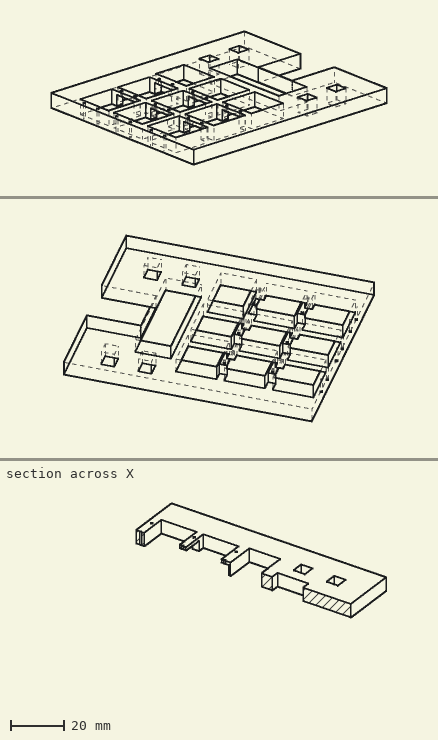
import cadquery as cq

PLATE_WIDTH = 80.5
PLATE_LENGTH = 97.5
PLATE_THICKNESS = 6.0

NOTCH_LEFT = 31.7
NOTCH_WIDTH = 19.0
NOTCH_BOTTOM = 76.3
DISPLAY_LEFT = 20.3
DISPLAY_BOTTOM = 61.8
DISPLAY_WIDTH = 39.1
DISPLAY_HEIGHT = 14.0

SMALL_SIZE = 5.2
SMALL_LEFT_X = 10.1
SMALL_RIGHT_X = 65.15
SMALL_UPPER_Y = 80.8
SMALL_CORNERS = [
    (SMALL_LEFT_X, SMALL_UPPER_Y),
    (SMALL_RIGHT_X, SMALL_UPPER_Y),
    (SMALL_LEFT_X, 65.7),
    (SMALL_RIGHT_X, 66.1),
]

GRID_COUNT = 3
GRID_PITCH = 19.0
GRID_LEFT = 12.3
GRID_BOTTOM = 3.7
KEY_SIZE = 16.0
ODD_KEY_WIDTH = 17.1
ODD_KEY_HEIGHT = 14.0
ODD_KEY_BOTTOM = 42.9

LEAD_DIAMETER = 0.77
LEAD_SPACING = 7.6
LOWER_WEB_Y = 21.2
UPPER_WEB_Y = 40.2
EDGE_PAIR_CENTRES = [(20.2, 2.0), (38.7, 1.9), (58.3, 1.9)]
WEB_PAIR_CENTRES = [
    (19.9, LOWER_WEB_Y), (38.9, LOWER_WEB_Y), (57.6, LOWER_WEB_Y),
    (19.9, UPPER_WEB_Y), (38.9, UPPER_WEB_Y), (57.9, UPPER_WEB_Y),
]

POCKET_LENGTH = 9.5
POCKET_WIDTH = 3.5
POCKET_ROOF = 1.6


def through_block(left, bottom, width, length):
    """Box as tall as the plate, placed by its lower-left corner."""
    box = cq.Workplane("XY").box(width, length, PLATE_THICKNESS, centered=False)
    return box.translate((left, bottom, 0))


def key_windows():
    windows = cq.Workplane("XY")
    for row in range(GRID_COUNT):
        for column in range(GRID_COUNT):
            left = GRID_LEFT + column * GRID_PITCH
            bottom = GRID_BOTTOM + row * GRID_PITCH
            if column == 0 and row == GRID_COUNT - 1:
                odd_left = left + KEY_SIZE - ODD_KEY_WIDTH
                windows = windows.add(through_block(odd_left, ODD_KEY_BOTTOM, ODD_KEY_WIDTH, ODD_KEY_HEIGHT))
            else:
                windows = windows.add(through_block(left, bottom, KEY_SIZE, KEY_SIZE))
    return windows.combine()


def lead_holes():
    positions = [
        (x + side * LEAD_SPACING / 2, y)
        for x, y in EDGE_PAIR_CENTRES + WEB_PAIR_CENTRES
        for side in (-1, 1)
    ]
    return cq.Workplane("XY").pushPoints(positions).circle(LEAD_DIAMETER / 2).extrude(PLATE_THICKNESS)


def lead_pockets():
    return (
        cq.Workplane("XY")
        .pushPoints(WEB_PAIR_CENTRES)
        .rect(POCKET_LENGTH, POCKET_WIDTH)
        .extrude(PLATE_THICKNESS - POCKET_ROOF)
    )


plate = through_block(0, 0, PLATE_WIDTH, PLATE_LENGTH)
plate = plate.cut(through_block(NOTCH_LEFT, NOTCH_BOTTOM, NOTCH_WIDTH, PLATE_LENGTH - NOTCH_BOTTOM))
plate = plate.cut(through_block(DISPLAY_LEFT, DISPLAY_BOTTOM, DISPLAY_WIDTH, DISPLAY_HEIGHT))
for corner_x, corner_y in SMALL_CORNERS:
    plate = plate.cut(through_block(corner_x, corner_y, SMALL_SIZE, SMALL_SIZE))

result = plate.cut(key_windows()).cut(lead_pockets()).cut(lead_holes())